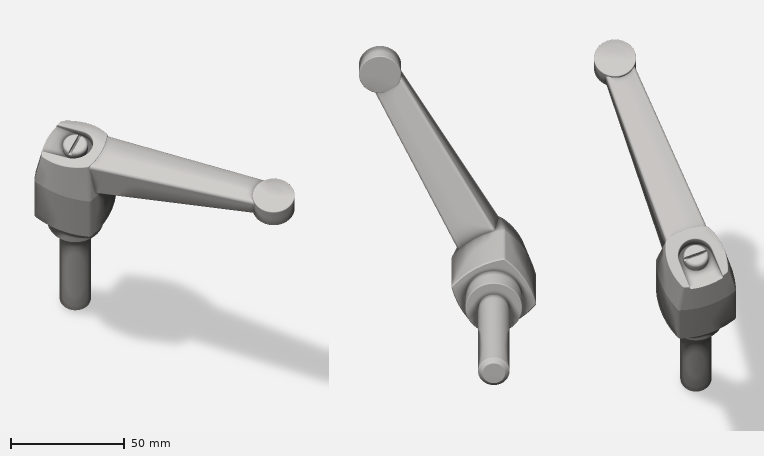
import cadquery as cq
import math

STUD_DIAMETER = 14.0
STUD_CHAMFER = 2.0
COLLAR_DIAMETER = 25.0
COLLAR_BOTTOM = 60.2
COLLAR_FILLET = 0.4

HUB_LENGTH = 32.4
HUB_WIDTH = 32.0
HUB_BOTTOM = 71.5
HUB_SHOULDER = 98.5
HUB_CORNER = 13.7
HUB_CORNER_FILLET = 1.9
HUB_BOTTOM_CHAMFER = 0.5
HUB_TOP_AT_AXIS = 116.3
HUB_TOP_SLOPE = 10
HUB_TOP_FILLET = 0.4

HEAD_TOP = 122.0
HEAD_TOP_LENGTH = 24.4
HEAD_TOP_WIDTH = 23.9
HEAD_TOP_CORNER_X = 10.6
HEAD_TOP_CORNER_Y = 9.1

RECESS_FLOOR = 112.7
RECESS_RADIUS = 7.8
RECESS_FLOOR_FILLET = 0.4
SCREW_DIAMETER = 11.0
SCREW_TOP = 117.2
SCREW_FILLET = 1.3
SLOT_WIDTH = 1.5
SLOT_DEPTH = 1.9

OVERALL_LENGTH = 122.0
OVERALL_HEIGHT = 134.0
KNOB_DIAMETER = 18.6
KNOB_HEIGHT = 9.9
KNOB_FILLET = 0.4
KNOB_X = OVERALL_LENGTH - HUB_LENGTH / 2 - KNOB_DIAMETER / 2

ARM_ROOT_X = 8.7
ARM_ROOT_BOTTOM = 97.4
ARM_ROOT_TOP = 117.4
ARM_ROOT_WIDTH = 19.5
ARM_TIP_X = KNOB_X - 4.7
ARM_TIP_BOTTOM = 125.4
ARM_TIP_TOP = 133.5
ARM_TIP_WIDTH = 13.7
ARM_FILLET = 1.3


def make_disc(diameter, bottom, top, x=0):
    return cq.Workplane("XY", origin=(x, 0, bottom)).circle(diameter / 2).extrude(top - bottom)


def draw_hub_outline(plane, length, width, corner_x, corner_y):
    """Four-cornered outline whose sides are arcs bulging out to the given length and width."""
    return (
        plane
        .moveTo(-corner_x, -corner_y)
        .threePointArc((0, -width / 2), (corner_x, -corner_y))
        .threePointArc((length / 2, 0), (corner_x, corner_y))
        .threePointArc((0, width / 2), (-corner_x, corner_y))
        .threePointArc((-length / 2, 0), (-corner_x, -corner_y))
        .close()
    )


def make_hub():
    base = cq.Workplane("XY", origin=(0, 0, HUB_BOTTOM))
    base = draw_hub_outline(base, HUB_LENGTH, HUB_WIDTH, HUB_CORNER, HUB_CORNER)
    base = base.extrude(HUB_SHOULDER - HUB_BOTTOM)
    base = base.edges("|Z").fillet(HUB_CORNER_FILLET)
    base = base.faces("<Z").chamfer(HUB_BOTTOM_CHAMFER)

    head = cq.Workplane("XY", origin=(0, 0, HUB_SHOULDER))
    head = draw_hub_outline(head, HUB_LENGTH, HUB_WIDTH, HUB_CORNER, HUB_CORNER)
    head = head.workplane(offset=HEAD_TOP - HUB_SHOULDER)
    head = draw_hub_outline(
        head, HEAD_TOP_LENGTH, HEAD_TOP_WIDTH, HEAD_TOP_CORNER_X, HEAD_TOP_CORNER_Y
    )
    head = head.loft(ruled=True)
    head = head.edges("not(<Z or >Z)").fillet(HUB_CORNER_FILLET)
    slope = math.radians(HUB_TOP_SLOPE)
    rise = HUB_LENGTH * math.tan(slope)
    above_top = (
        cq.Workplane("XZ", origin=(0, HUB_WIDTH, 0))
        .moveTo(-HUB_LENGTH, HUB_TOP_AT_AXIS - rise)
        .lineTo(HUB_LENGTH, HUB_TOP_AT_AXIS + rise)
        .lineTo(HUB_LENGTH, OVERALL_HEIGHT)
        .lineTo(-HUB_LENGTH, OVERALL_HEIGHT)
        .close()
        .extrude(2 * HUB_WIDTH)
    )
    top_normal = cq.Vector(-math.sin(slope), 0, math.cos(slope))
    head = head.cut(above_top).cut(make_recess())
    head = head.faces(cq.ParallelDirSelector(top_normal)).edges().fillet(HUB_TOP_FILLET)
    return base.union(head)


def make_arm():
    profile = (
        cq.Workplane("XZ", origin=(0, ARM_ROOT_WIDTH / 2, 0))
        .moveTo(ARM_ROOT_X, ARM_ROOT_BOTTOM)
        .lineTo(ARM_TIP_X, ARM_TIP_BOTTOM)
        .lineTo(ARM_TIP_X, ARM_TIP_TOP)
        .lineTo(ARM_ROOT_X, ARM_ROOT_TOP)
        .close()
        .extrude(ARM_ROOT_WIDTH)
    )
    plan = (
        cq.Workplane("XY")
        .moveTo(ARM_ROOT_X, -ARM_ROOT_WIDTH / 2)
        .lineTo(ARM_TIP_X, -ARM_TIP_WIDTH / 2)
        .lineTo(ARM_TIP_X, ARM_TIP_WIDTH / 2)
        .lineTo(ARM_ROOT_X, ARM_ROOT_WIDTH / 2)
        .close()
        .extrude(OVERALL_HEIGHT)
    )
    arm = profile.intersect(plan)
    long_edges = arm.edges("not(<X or >X)")
    return long_edges.fillet(ARM_FILLET)


def make_recess():
    depth = OVERALL_HEIGHT - RECESS_FLOOR
    recess = (
        cq.Workplane("XY", origin=(0, 0, RECESS_FLOOR))
        .moveTo(-HUB_LENGTH, -RECESS_RADIUS)
        .lineTo(0, -RECESS_RADIUS)
        .threePointArc((RECESS_RADIUS, 0), (0, RECESS_RADIUS))
        .lineTo(-HUB_LENGTH, RECESS_RADIUS)
        .close()
        .extrude(depth)
    )
    floor_edges = recess.faces("<Z").edges("not(<X)")
    return floor_edges.fillet(RECESS_FLOOR_FILLET)


def make_screw_head():
    head = make_disc(SCREW_DIAMETER, HUB_SHOULDER, SCREW_TOP).faces(">Z").edges().fillet(SCREW_FILLET)
    slot = cq.Workplane("XY", origin=(0, 0, SCREW_TOP - SLOT_DEPTH))
    slot = slot.rect(SLOT_WIDTH, SCREW_DIAMETER).extrude(SLOT_DEPTH)
    return head.cut(slot)


stud = make_disc(STUD_DIAMETER, 0, HUB_BOTTOM).faces("<Z").chamfer(STUD_CHAMFER)
collar = make_disc(COLLAR_DIAMETER, COLLAR_BOTTOM, HUB_BOTTOM).faces("<Z").edges().fillet(COLLAR_FILLET)
knob = make_disc(KNOB_DIAMETER, OVERALL_HEIGHT - KNOB_HEIGHT, OVERALL_HEIGHT, KNOB_X)
knob = knob.faces("<Z or >Z").edges().fillet(KNOB_FILLET)

lever = make_hub().union(make_screw_head()).union(make_arm()).union(knob)
result = lever.union(collar).union(stud)